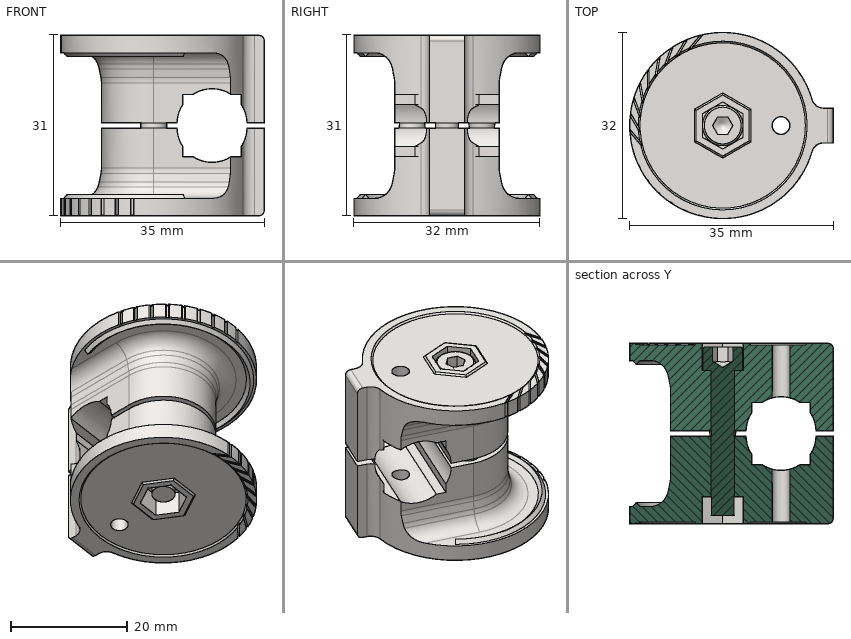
import cadquery as cq
import math

total_height = 31.0
gap = 0.9
top_z = total_height / 2
split_z = gap / 2

disc_radius = 16.0
tab_end_x = 35 - disc_radius
tab_half_width = 3.0
tab_root_radius = 2.0
tab_edge_radius = 0.98
flange_thickness = 3.0
flange_z = top_z - flange_thickness

column_radius = 9.0
column_straight_end_z = 7.3
flare_radius = 4.9
flare_cone_angle = math.radians(11)
flare_cone_height = 1.45
flare_end_angle = math.radians(22)

ridge_radius = 14.88
ridge_height = 0.65
ridge_half_width = 0.63
ridge_sweep = 220

recess_radius = 14.5
recess_depth = 0.298
boss_across_flats = 9.7
slope_angle = 45

tick_count = 9
tick_step = 10
tick_offset_x = -12.78
tick_start_y = 6.12
tick_width = 0.3
tick_depth = 0.15

bore_x = 10.0
bore_centre_z = 0.3
bore_radius = 6.0
bore_square = 10.0
sight_hole_radius = 1.5

head_radius = 3.45
head_height = 4.0
head_edge_chamfer = 0.3
head_top_z = 14.88
shank_radius = 2.0
shank_length = 25.0
socket_across_flats = 3.0
socket_depth = 2.45
drill_point_half_angle = math.radians(59)
pocket_across_flats = 7.0
pocket_floor_z = head_top_z - head_height

peg_y = 6.0
peg_base_radius = 2.28
peg_length = 2.0
peg_taper = 6


def across_corners(across_flats):
    """Corner-to-corner size of a hexagon."""
    return across_flats / math.cos(math.radians(30))


def hex_prism(across_flats, base_z, height, taper=0, turn=30):
    """Hexagonal prism on the Z axis; a turn of 30 puts its corners on Y."""
    prism = (cq.Workplane("XY").polygon(6, across_corners(across_flats))
             .extrude(height, taper=taper))
    return prism.rotate((0, 0, 0), (0, 0, 1), turn).translate((0, 0, base_z))


def cylinder(radius, base_z, height, x=0, y=0):
    return cq.Workplane("XY", origin=(x, y, base_z)).circle(radius).extrude(height)


def outline_plate():
    """Disc with the tab, the corners between them rounded, from split to top."""
    root_y = tab_half_width + tab_root_radius
    root_x = math.sqrt((disc_radius + tab_root_radius) ** 2 - root_y ** 2)
    root_angle = math.atan2(root_y, root_x)
    disc_x = disc_radius * math.cos(root_angle)
    disc_y = disc_radius * math.sin(root_angle)
    mid_angle = (root_angle + math.pi / 2) / 2
    mid_x = root_x - tab_root_radius * math.cos(mid_angle)
    mid_y = root_y - tab_root_radius * math.sin(mid_angle)
    plate = (
        cq.Workplane("XY", origin=(0, 0, split_z))
        .moveTo(tab_end_x, -tab_half_width)
        .lineTo(tab_end_x, tab_half_width)
        .lineTo(root_x, tab_half_width)
        .threePointArc((mid_x, mid_y), (disc_x, disc_y))
        .threePointArc((-disc_radius, 0), (disc_x, -disc_y))
        .threePointArc((mid_x, -mid_y), (root_x, -tab_half_width))
        .close()
        .extrude(top_z - split_z)
    )
    return plate.faces(">X").edges(">Z").fillet(tab_edge_radius)


def arc_step(radius, start_angle, end_angle):
    """Outward and upward travel along an arc; angles are measured from vertical."""
    outward = radius * (math.cos(start_angle) - math.cos(end_angle))
    upward = radius * (math.sin(end_angle) - math.sin(start_angle))
    return outward, upward


def flared_profile(plane):
    """Half section of column, flare and flange, drawn from the axis outward."""
    profile = (cq.Workplane(plane).moveTo(0, split_z)
               .lineTo(column_radius, split_z)
               .lineTo(column_radius, column_straight_end_z))
    r, z = column_radius, column_straight_end_z

    def add_arc(radius, start_angle, end_angle):
        half_way = (start_angle + end_angle) / 2
        mid_r, mid_z = arc_step(radius, start_angle, half_way)
        end_r, end_z = arc_step(radius, start_angle, end_angle)
        arc = profile.threePointArc((r + mid_r, z + mid_z), (r + end_r, z + end_z))
        return arc, r + end_r, z + end_z

    profile, r, z = add_arc(flare_radius, 0, flare_cone_angle)
    r += flare_cone_height * math.tan(flare_cone_angle)
    z += flare_cone_height
    profile = profile.lineTo(r, z)
    profile, r, z = add_arc(flare_radius, flare_cone_angle, flare_end_angle)
    blend_radius = (flange_z - z) / (1 - math.sin(flare_end_angle))
    profile, r, z = add_arc(blend_radius, flare_end_angle, math.pi / 2)
    return (profile.lineTo(tab_end_x, flange_z)
            .lineTo(tab_end_x, top_z)
            .lineTo(0, top_z)
            .close())


def flared_body():
    """Round column continued toward +X as a flat-sided arm, trimmed to the outline."""
    column = flared_profile("XZ").revolve(360, (0, 0, 0), (0, 1, 0))
    arm_side = flared_profile("YZ").extrude(tab_end_x)
    body = column.union(arm_side).union(arm_side.mirror("XZ"))
    return body.intersect(outline_plate())


def ridge():
    """Triangular ridge around the inner flange face, open toward +X."""
    section = (
        cq.Workplane("XZ")
        .moveTo(ridge_radius - ridge_half_width, flange_z)
        .lineTo(ridge_radius, flange_z - ridge_height)
        .lineTo(ridge_radius + ridge_half_width, flange_z)
        .close()
    )
    swept = section.revolve(ridge_sweep, (0, 0, 0), (0, 1, 0))
    return swept.rotate((0, 0, 0), (0, 0, 1), 180 - ridge_sweep / 2)


def face_recess():
    """Shallow round recess with sloping walls around the hexagonal boss."""
    floor_z = top_z - recess_depth
    recess = (cq.Workplane("XY", origin=(0, 0, top_z)).circle(recess_radius)
              .extrude(-recess_depth, taper=slope_angle))
    boss = hex_prism(boss_across_flats, floor_z, recess_depth, taper=slope_angle)
    return recess.cut(boss)


def tick_marks():
    """Slanted grooves across the rim that continue down its side."""
    length = disc_radius - tick_start_y
    blade = cq.Workplane("XY", origin=(tick_offset_x, tick_start_y, flange_z)).box(
        tick_width, length, flange_thickness, centered=(True, False, False))
    core = cylinder(disc_radius - tick_depth, flange_z, flange_thickness - tick_depth)
    tick = blade.cut(core)
    first_angle = -(tick_count - 1) / 2 * tick_step
    return [tick.rotate((0, 0, 0), (0, 0, 1), first_angle + index * tick_step)
            for index in range(tick_count)]


def rail_bore():
    round_bore = (cq.Workplane("XZ").center(bore_x, bore_centre_z)
                  .circle(bore_radius).extrude(disc_radius, both=True))
    square_bore = (cq.Workplane("XZ").center(bore_x, bore_centre_z)
                   .rect(bore_square, bore_square).extrude(disc_radius, both=True))
    return round_bore.union(square_bore)


def peg():
    """Tapered peg of the upper half, reaching down across the gap."""
    return (cq.Workplane("XY", origin=(0, peg_y, split_z))
            .circle(peg_base_radius)
            .extrude(-peg_length, taper=peg_taper))


def clamp_half():
    """Upper clamp half."""
    half = flared_body().union(ridge()).cut(face_recess())
    for tick in tick_marks():
        half = half.cut(tick)
    half = half.cut(rail_bore())
    half = half.cut(cylinder(sight_hole_radius, 0, total_height, x=bore_x))
    half = half.cut(cylinder(shank_radius, 0, total_height))
    half = half.cut(hex_prism(pocket_across_flats, pocket_floor_z, top_z - pocket_floor_z))
    socket = peg().rotate((0, 0, 0), (1, 0, 0), 180)
    return half.union(peg()).cut(socket)


def screw_socket():
    """Hexagonal socket ending in a drill point."""
    corner_radius = across_corners(socket_across_flats) / 2
    point_depth = corner_radius / math.tan(drill_point_half_angle)
    floor_z = head_top_z - socket_depth
    drilled = (
        cq.Workplane("XZ")
        .moveTo(0, head_top_z)
        .lineTo(corner_radius, head_top_z)
        .lineTo(corner_radius, floor_z)
        .lineTo(0, floor_z - point_depth)
        .close()
        .revolve(360, (0, 0, 0), (0, 1, 0))
    )
    bounds = hex_prism(socket_across_flats, floor_z - point_depth, socket_depth + point_depth, turn=0)
    return drilled.intersect(bounds)


def clamp_screw():
    """Socket head screw through both halves."""
    head = (cylinder(head_radius, pocket_floor_z, head_height)
            .faces(">Z").edges().chamfer(head_edge_chamfer))
    shank = cylinder(shank_radius, pocket_floor_z - shank_length, shank_length)
    return head.union(shank).cut(screw_socket())


half = clamp_half()
clamp_halves = [half.rotate((0, 0, 0), (1, 0, 0), angle) for angle in (0, 180)]
screw = clamp_screw()

result = cq.Compound.makeCompound([*(part.val() for part in clamp_halves), screw.val()])